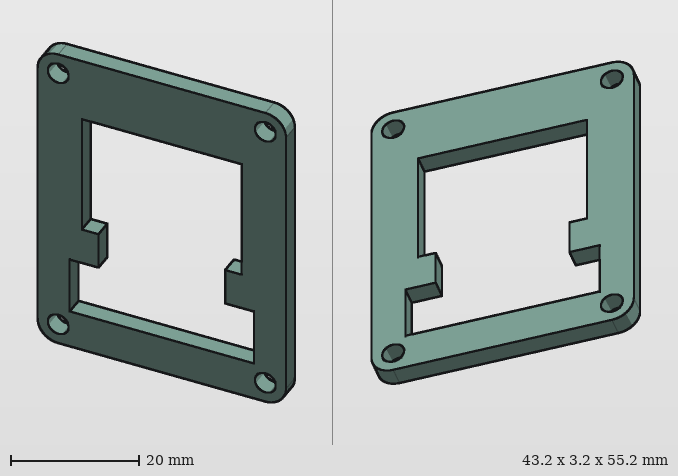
import cadquery as cq

hole_spacing_x = 36.0
hole_spacing_z = 48.0
hole_diameter = 3.6
corner_radius = 3.6
plate_width = hole_spacing_x + 2 * corner_radius
plate_height = hole_spacing_z + 2 * corner_radius
plate_thickness = 3.2

window_width = 27.8
neck_width = 22.0
bay_width = 32.0
window_top = 16.5
tab_top = -4.6
tab_bottom = -11.0
bay_bottom = -20.9


def front_sketch():
    """Sketch plane on the rear face, local x along X and local y along Z, facing -Y."""
    return cq.Workplane("XZ", origin=(0, plate_thickness / 2, 0))


def make_plate():
    plate = front_sketch().rect(plate_width, plate_height).extrude(plate_thickness)
    return plate.edges("|Y").fillet(corner_radius)


def make_opening():
    right_side = [
        (0, window_top),
        (window_width / 2, window_top),
        (window_width / 2, tab_top),
        (neck_width / 2, tab_top),
        (neck_width / 2, tab_bottom),
        (bay_width / 2, tab_bottom),
        (bay_width / 2, bay_bottom),
        (0, bay_bottom),
    ]
    return front_sketch().polyline(right_side).mirrorY().extrude(plate_thickness)


def make_screw_holes():
    centres = front_sketch().rect(hole_spacing_x, hole_spacing_z, forConstruction=True).vertices()
    return centres.circle(hole_diameter / 2).extrude(plate_thickness)


result = make_plate().cut(make_opening()).cut(make_screw_holes())